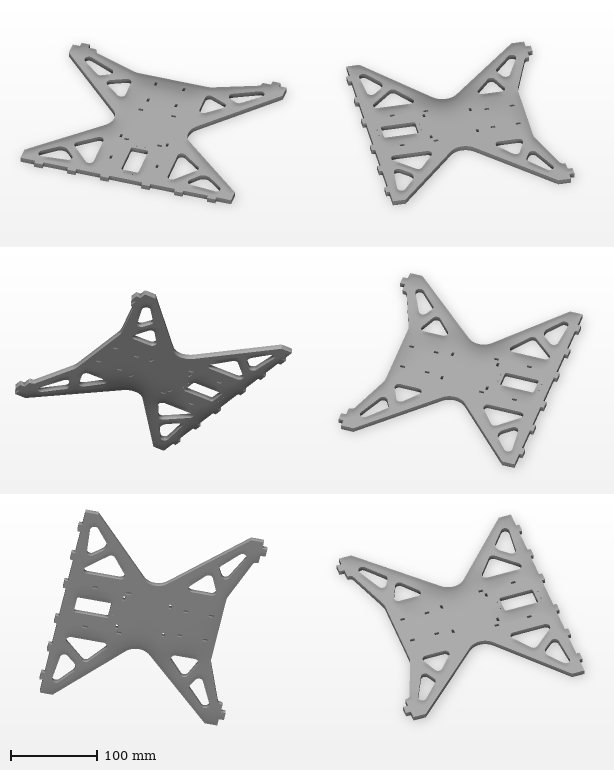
import math

import cadquery as cq

thickness = 6.0
body_length = 211.0
front_half_width = 130.0
rear_half_width = 128.0
arm_end_height = 15.0

front_edge_y = 185.0
front_edge_half_width = 45.0
front_edge_radius = 20.0
shoulder_x = 100.5
shoulder_y = 205.7
shoulder_radius = 4.0
shoulder_tip_radius = 1.5

waist_x = 36.4
waist_y = 99.0
waist_radius = 20.0

tab_width = 10.0
front_tab_x = 116.0
front_tab_depth = 6.0
rear_tab_xs = (25.0, 65.0, 105.0)
rear_tab_depth = 4.0

corner_radius = 5.0
wide_radius = 10.0
inner_x = 50.0
arm_windows = (
    ((75.5, 177.4, corner_radius), (84.1, 172.9, corner_radius), (104.2, 191.0, corner_radius)),
    ((inner_x, 143.8, corner_radius), (67.2, 158.7, corner_radius), (inner_x, 166.3, corner_radius)),
    ((inner_x, 19.7, corner_radius), (70.5, 42.3, corner_radius), (inner_x, 58.0, corner_radius)),
    ((75.3, 17.7, corner_radius), (105.5, 15.0, corner_radius), (86.8, 23.3, wide_radius)),
)

centre_window_width = 21.0
centre_window_length = 41.0
centre_window_y = 35.5
centre_window_radius = 2.0
hole_diameter = 1.5
hole_spacing_x = 10.5
hole_spacing_y = 50.0
hole_centre_y = 35.0

slot_length = 5.5
slot_width = 3.0
lengthwise_slots = ((17.0, 172.5), (17.0, 142.5), (28.0, 72.5), (28.0, 32.5))
crosswise_slots = ((20.0, 123.5), (20.0, 68.5))


def both_sides(points):
    """Return the points together with their mirror images across X = 0."""
    return [(side * x, y) for x, y in points for side in (1, -1)]


def round_corners(plate, corners, radius):
    """Round the upright edges standing at the given corners."""
    for x, y in both_sides(corners):
        edge = cq.selectors.NearestToPointSelector((x, y, thickness / 2))
        plate = plate.edges("|Z").edges(edge).fillet(radius)
    return plate


def body():
    """Four-armed plate without tabs or openings."""
    half_outline = [
        (rear_half_width, 0),
        (rear_half_width, arm_end_height),
        (waist_x, waist_y),
        (front_half_width, body_length - arm_end_height),
        (front_half_width, body_length),
        (shoulder_x, body_length),
        (shoulder_x, shoulder_y),
        (front_edge_half_width, front_edge_y),
    ]
    mirrored = [(-x, y) for x, y in reversed(half_outline)]
    plate = cq.Workplane("XY").polyline(half_outline + mirrored).close().extrude(thickness)
    plate = round_corners(plate, [(waist_x, waist_y)], waist_radius)
    plate = round_corners(plate, [(shoulder_x, shoulder_y)], shoulder_radius)
    plate = round_corners(plate, [(shoulder_x, body_length)], shoulder_tip_radius)
    return round_corners(plate, [(front_edge_half_width, front_edge_y)], front_edge_radius)


def blocks(centres, width, length):
    """Plate-thick rectangular blocks, mirrored to both sides."""
    return cq.Workplane("XY").pushPoints(both_sides(centres)).rect(width, length).extrude(thickness)


def tabs():
    """Each tab overlaps the body by its own depth so that the two fuse."""
    front = blocks([(front_tab_x, body_length)], tab_width, 2 * front_tab_depth)
    rear = blocks([(x, 0) for x in rear_tab_xs], tab_width, 2 * rear_tab_depth)
    return front.union(rear)


def outer_tangent(first, second):
    """Ends of the tangent line on the right-hand side going from first to second."""
    x1, y1, r1 = first
    x2, y2, r2 = second
    distance = math.hypot(x2 - x1, y2 - y1)
    heading = math.atan2(y2 - y1, x2 - x1)
    normal = heading - math.acos((r1 - r2) / distance)
    nx = math.cos(normal)
    ny = math.sin(normal)
    return (x1 + r1 * nx, y1 + r1 * ny), (x2 + r2 * nx, y2 + r2 * ny)


def arm_window(circles):
    """Cutter bounded by the corner circles and their outer tangent lines."""
    following = circles[1:] + circles[:1]
    tangents = [outer_tangent(a, b) for a, b in zip(circles, following)]
    outline = cq.Workplane("XY").moveTo(*tangents[-1][1])
    for (_, _, radius), (start, end) in zip(circles, tangents):
        outline = outline.radiusArc(start, -radius).lineTo(*end)
    return outline.close().extrude(thickness)


def centre_window():
    window = cq.Workplane("XY").center(0, centre_window_y).rect(centre_window_width, centre_window_length)
    return window.extrude(thickness).edges("|Z").fillet(centre_window_radius)


def small_holes():
    centres = cq.Workplane("XY").center(0, hole_centre_y).rarray(hole_spacing_x, hole_spacing_y, 2, 2)
    return centres.circle(hole_diameter / 2).extrude(thickness)


result = body().union(tabs())
for circles in arm_windows:
    window = arm_window(circles)
    result = result.cut(window).cut(window.mirror("YZ"))
result = result.cut(centre_window()).cut(small_holes())
result = result.cut(blocks(lengthwise_slots, slot_width, slot_length))
result = result.cut(blocks(crosswise_slots, slot_length, slot_width))